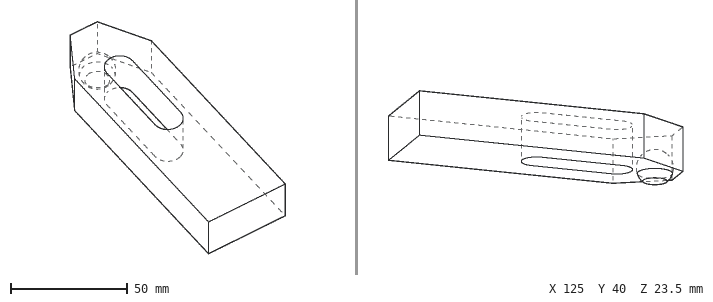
import cadquery as cq
import math

BAR_LENGTH = 125.0
BAR_WIDTH = 40.0
BAR_THICKNESS = 20.0
NOSE_WIDTH = 14.1
NOSE_ANGLE = 30.0
NOSE_LENGTH = (BAR_WIDTH - NOSE_WIDTH) / 2 / math.tan(math.radians(NOSE_ANGLE))

SLOT_START = 21.0
SLOT_LENGTH = 50.0
SLOT_WIDTH = 13.2

BALL_RADIUS = 8.0
BALL_X = 10.4
BALL_HEIGHT = 2.5
BALL_PROJECTION = 3.5


def make_ball():
    """Ball with its lower end cut off to form a flat contact face."""
    sphere = cq.Workplane("XY").sphere(BALL_RADIUS).translate((BALL_X, 0, BALL_HEIGHT))
    keep_size = 2 * BALL_RADIUS
    above_flat = (
        cq.Workplane("XY", origin=(BALL_X, 0, -BALL_PROJECTION))
        .rect(keep_size, keep_size)
        .extrude(keep_size)
    )
    return sphere.intersect(above_flat)


def make_bar_blank():
    """Rectangular bar tapering to a blunt nose."""
    half_width = BAR_WIDTH / 2
    half_nose = NOSE_WIDTH / 2
    outline = [
        (0, -half_nose),
        (NOSE_LENGTH, -half_width),
        (BAR_LENGTH, -half_width),
        (BAR_LENGTH, half_width),
        (NOSE_LENGTH, half_width),
        (0, half_nose),
    ]
    return cq.Workplane("XY").polyline(outline).close().extrude(BAR_THICKNESS)


def make_slot():
    """Round-ended cutter for the bolt slot."""
    slot_center = SLOT_START + SLOT_LENGTH / 2
    return (
        cq.Workplane("XY")
        .center(slot_center, 0)
        .slot2D(SLOT_LENGTH, SLOT_WIDTH)
        .extrude(BAR_THICKNESS)
    )


ball = make_ball()
bar = make_bar_blank().cut(make_slot()).cut(ball)

result = cq.Compound.makeCompound([bar.solids().val(), ball.solids().val()])